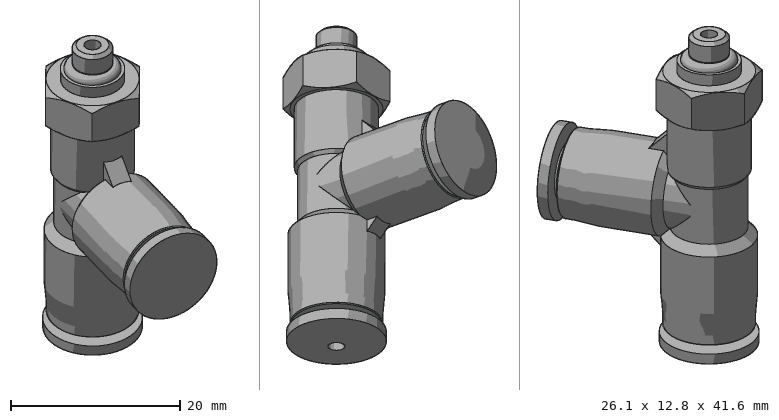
import cadquery as cq
import math

total_height = 41.6
bore_dia = 2.0

arm_length = 20.15
neck_end = 4.15
neck_dia = 9.25
sleeve_dia = 11.5
sleeve_start = neck_end + (sleeve_dia - neck_dia) / 2
sleeve_end = 12.9
cap_dia = 11.0
cap_start = 15.9
cap_end = 17.22
cap_edge = 0.12
stem_dia = 6.8
stem_foot_dia = 7.0
stem_foot_start = 17.9
ring_dia = 11.8
ring_start = 18.15
ring_rim_end = 19.45
ring_face_dia = 5.57
ring_crown_bulge = 0.05

body_dia = 10.0
body_bottom = 23.75
body_neck_height = 23.3
hex_bottom = 31.57
hex_top = 36.7
hex_corner_dia = 12.8
hex_chamfer_dia = 11.0
hex_chamfer_angle = 30.0

collar_dia = 7.6
collar_top = 38.15
thread_dia = 4.83
thread_bottom = 39.0
undercut_dia = 4.75
tip_dia = 3.85
tip_chamfer_height = 0.4
seal_dia = 6.8
seal_section = 1.6
seal_height = collar_top

web_thickness = 2.5
web_leg = 12.75


def cylinder(diameter, bottom, top):
    return cq.Workplane("XY").workplane(offset=bottom).circle(diameter / 2).extrude(top - bottom)


def revolve_about_z(profile):
    return profile.close().revolve(360, (0, 0, 0), (0, 1, 0))


def push_in_arm():
    """Arm pointing up from the origin, with its release ring at the far end."""
    crown_middle = ((ring_dia + ring_face_dia) / 4,
                    (ring_rim_end + arm_length) / 2 + ring_crown_bulge)
    profile = (
        cq.Workplane("XZ")
        .moveTo(0, 0)
        .lineTo(neck_dia / 2, 0)
        .lineTo(neck_dia / 2, neck_end)
        .lineTo(sleeve_dia / 2, sleeve_start)
        .lineTo(sleeve_dia / 2, sleeve_end)
        .lineTo(cap_dia / 2, cap_start)
        .lineTo(cap_dia / 2, cap_end - cap_edge)
        .lineTo(cap_dia / 2 - cap_edge, cap_end)
        .lineTo(stem_dia / 2, cap_end)
        .lineTo(stem_dia / 2, stem_foot_start)
        .lineTo(stem_foot_dia / 2, stem_foot_start)
        .lineTo(stem_foot_dia / 2, ring_start)
        .lineTo(ring_dia / 2, ring_start)
        .lineTo(ring_dia / 2, ring_rim_end)
        .threePointArc(crown_middle, (ring_face_dia / 2, arm_length))
        .lineTo(0, arm_length)
    )
    return revolve_about_z(profile)


def upper_body():
    profile = (
        cq.Workplane("XZ")
        .moveTo(0, arm_length)
        .lineTo(neck_dia / 2, arm_length)
        .lineTo(neck_dia / 2, body_neck_height)
        .lineTo(body_dia / 2, body_bottom)
        .lineTo(body_dia / 2, hex_bottom)
        .lineTo(0, hex_bottom)
    )
    return revolve_about_z(profile)


def hexagon():
    """Hexagon with corners on the Y axis, its corners chamfered at both ends."""
    prism = (
        cq.Workplane("XY").workplane(offset=hex_bottom)
        .transformed(rotate=(0, 0, 90))
        .polygon(6, hex_corner_dia)
        .extrude(hex_top - hex_bottom)
    )
    corner_radius = hex_corner_dia / 2
    face_radius = hex_chamfer_dia / 2
    drop = (corner_radius - face_radius) * math.tan(math.radians(hex_chamfer_angle))
    envelope = (
        cq.Workplane("XZ")
        .moveTo(0, hex_bottom)
        .lineTo(face_radius, hex_bottom)
        .lineTo(corner_radius, hex_bottom + drop)
        .lineTo(corner_radius, hex_top - drop)
        .lineTo(face_radius, hex_top)
        .lineTo(0, hex_top)
    )
    return prism.intersect(revolve_about_z(envelope))


def threaded_end():
    collar = cylinder(collar_dia, hex_top, collar_top)
    undercut = cylinder(undercut_dia, collar_top, thread_bottom)
    thread_profile = (
        cq.Workplane("XZ")
        .moveTo(0, thread_bottom)
        .lineTo(thread_dia / 2, thread_bottom)
        .lineTo(thread_dia / 2, total_height - tip_chamfer_height)
        .lineTo(tip_dia / 2, total_height)
        .lineTo(0, total_height)
    )
    seal_center_radius = (seal_dia - seal_section) / 2
    seal = (
        cq.Workplane("XZ")
        .moveTo(seal_center_radius, seal_height)
        .circle(seal_section / 2)
        .revolve(360, (0, 0, 0), (0, 1, 0))
    )
    return collar.union(undercut).union(revolve_about_z(thread_profile)).union(seal)


def gusset_web():
    """Triangular web, bracing the branch above and below its axis."""
    return (
        cq.Workplane("XZ", origin=(0, 0, arm_length))
        .polyline([(0, -web_leg), (web_leg, 0), (0, web_leg)])
        .close()
        .extrude(web_thickness / 2, both=True)
    )


arm = push_in_arm()
center = (0, 0, arm_length)
run_arm = arm.rotate((0, 0, 0), (1, 0, 0), 180).translate(center)
branch_arm = arm.rotate((0, 0, 0), (0, 1, 0), 90).translate(center)

result = run_arm.union(upper_body())
for feature in (branch_arm, gusset_web(), hexagon(), threaded_end()):
    result = result.union(feature)
result = result.clean()

result = result.cut(cylinder(bore_dia, 0, total_height))